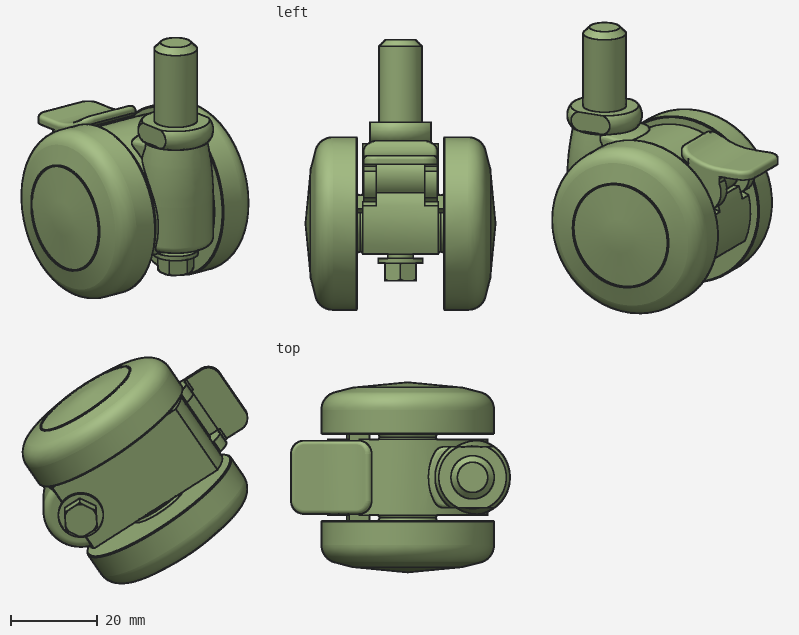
import cadquery as cq
import math

WHEEL_R = 20.0
WHEEL_IN = 10.0
TREAD_OUT = 15.6
RIM_R = 17.1
RIM_OUT = 19.6
CAP_R = 12.5
CAP_OUT = 20.8
WHEEL_OUT = 22.0
CAP_GROOVE = 0.25
INNER_EDGE = 0.25

HUB_R = 6.8
HUB_MEET_R = 6.5
HUB_MEET = 9.3

HOUSING_R = 18.5
HOUSING_HALF = 8.75
HOUSING_BOTTOM = -7.05

STEM_X = 15.0
COLUMN_R = 8.7
COLUMN_TOP_R = 7.25
COLUMN_BOTTOM = -6.55
COLUMN_TOP = 18.6
COLUMN_STRAIGHT_TOP = 5.0
COLUMN_ROUND = 1.7
COLLAR_R = 10.5
COLLAR_EDGE_Z = 17.95
COLLAR_END_X = 12.5
COLLAR_CORNER = 2.5
COLLAR_ROUND = 0.95

STUD_R = 5.0
STUD_TOP = 42.5
STUD_CHAMFER = 1.5
NUT_R = 8.7
NUT_END_R = 7.8
NUT_BOTTOM = 18.9
NUT_TOP = 23.45
NUT_HALF_FLATS = 7.05
NECK_R = 6.9
SHAFT_R = 3.0
WASHER_R = 5.2
WASHER_TOP = -8.05
WASHER_BOTTOM = -9.1
HEX_FLATS = 7.25
HEX_BOTTOM = -13.25
HEX_CHAMFER = 0.4

PLATE_TIP_X = -27.0
PLATE_REAR_X = -8.3
PLATE_TOP = 15.7
PLATE_T = 2.0
PLATE_BOTTOM = PLATE_TOP - PLATE_T
PLATE_HALF = 8.5
PLATE_CORNER = 3.05
PLATE_ROUND = 0.95
BEND_X = -19.4
BEND_R = 15.6
BEND_ANGLE = 50.0

POCKET_X = -11.25
POCKET_FLOOR = 7.05
LEG_IN = 5.6
LEG_OUT = PLATE_HALF
LEG_FLOOR = 5.0
LEG_FLOOR_LIP = 3.95
LEG_FLOOR_BREAK_X = -15.95
LEG_TOE = (-18.1, 5.95)
LEG_BULGE = (-19.8, 10.2)
LEG_NOTCH = (-19.3, 12.1)
LEG_FILLET = 0.5
CORE_TOE_X = -15.6
CORE_BULGE = (-17.1, 10.0)
CORE_HEAD = (-16.55, PLATE_BOTTOM)

BAR_LENGTH = 4.75
BAR_HEIGHT = 3.25
BAR_X = -11.45
BAR_Z = 4.5
BAR_TILT = -11.3


def block(x0, x1, y0, y1, z0, z1):
    return cq.Workplane("XY").box(x1 - x0, y1 - y0, z1 - z0, centered=False).translate((x0, y0, z0))


def along_y(outline, half_width):
    """Extrude an XZ outline equally to both sides of the mid plane."""
    return outline.extrude(half_width, both=True)


def make_wheel(side):
    """Wheel with rounded shoulder, conical face and short hub; side is -1 or +1 along Y."""
    groove_r = CAP_R - CAP_GROOVE
    groove_floor = CAP_OUT - CAP_GROOVE
    profile = (
        cq.Workplane("XY")
        .moveTo(0, HUB_MEET)
        .lineTo(HUB_MEET_R, HUB_MEET)
        .lineTo(HUB_R, WHEEL_IN)
        .lineTo(WHEEL_R - INNER_EDGE, WHEEL_IN)
        .lineTo(WHEEL_R, WHEEL_IN + INNER_EDGE)
        .lineTo(WHEEL_R, TREAD_OUT)
        .tangentArcPoint((RIM_R, RIM_OUT), relative=False)
        .lineTo(CAP_R, CAP_OUT)
        .lineTo(CAP_R, groove_floor)
        .lineTo(groove_r, groove_floor)
        .lineTo(groove_r, CAP_OUT)
        .lineTo(0, WHEEL_OUT)
        .close()
    )
    wheel = profile.revolve(360, (0, 0, 0), (0, 1, 0))
    return wheel if side > 0 else wheel.mirror("XZ")


def plate_outline():
    """Side outline of the thumb plate: flat tip, then an upward bend of constant thickness."""
    bend_z = PLATE_TOP + BEND_R

    def on_bend(radius, degrees):
        angle = math.radians(degrees)
        return (BEND_X + radius * math.sin(angle), bend_z - radius * math.cos(angle))

    lower_r = BEND_R + PLATE_T
    return (
        cq.Workplane("XZ")
        .moveTo(PLATE_TIP_X, PLATE_TOP)
        .lineTo(BEND_X, PLATE_TOP)
        .threePointArc(on_bend(BEND_R, BEND_ANGLE / 2), on_bend(BEND_R, BEND_ANGLE))
        .lineTo(*on_bend(lower_r, BEND_ANGLE))
        .threePointArc(on_bend(lower_r, BEND_ANGLE / 2), on_bend(lower_r, 0))
        .lineTo(PLATE_TIP_X, PLATE_BOTTOM)
        .close()
    )


def make_plate():
    plate = along_y(plate_outline(), PLATE_HALF)
    planform = block(PLATE_TIP_X, PLATE_REAR_X, -PLATE_HALF, PLATE_HALF, 0, STUD_TOP)
    plate = plate.intersect(planform.edges("|Z").fillet(PLATE_CORNER))
    return plate.faces("<X").edges(">Z").fillet(PLATE_ROUND)


def make_brake_bar():
    """Tilted bar that crosses the housing and reaches both wheel faces."""
    bar = cq.Workplane("XZ").rect(BAR_LENGTH, BAR_HEIGHT)
    bar = along_y(bar, WHEEL_IN)
    return bar.rotate((0, 0, 0), (0, 1, 0), -BAR_TILT).translate((BAR_X, 0, BAR_Z))


def make_leg(side):
    """Leg hanging from the plate, with a bulged front; it stands on the slot floor."""
    outline = (
        cq.Workplane("XZ")
        .moveTo(POCKET_X, LEG_FLOOR)
        .lineTo(LEG_FLOOR_BREAK_X, LEG_FLOOR)
        .lineTo(*LEG_TOE)
        .threePointArc(LEG_BULGE, LEG_NOTCH)
        .lineTo(LEG_NOTCH[0], PLATE_BOTTOM - LEG_FILLET)
        .radiusArc((LEG_NOTCH[0] - LEG_FILLET, PLATE_BOTTOM), LEG_FILLET)
        .lineTo(POCKET_X, PLATE_BOTTOM)
        .close()
    )
    leg = outline.extrude(LEG_OUT - LEG_IN)
    return leg.translate((0, LEG_OUT if side > 0 else -LEG_IN, 0))


def make_core():
    """Web between the legs, with a rounded front; it stands on the pocket floor."""
    outline = (
        cq.Workplane("XZ")
        .moveTo(POCKET_X, POCKET_FLOOR)
        .lineTo(CORE_TOE_X, POCKET_FLOOR)
        .threePointArc(CORE_BULGE, CORE_HEAD)
        .lineTo(POCKET_X, CORE_HEAD[1])
        .close()
    )
    return along_y(outline, LEG_IN)


def make_web_top():
    """Wedge that joins the legs and the core to the underside of the bent plate."""
    bend_z = PLATE_TOP + BEND_R
    room = block(LEG_NOTCH[0], POCKET_X, -LEG_OUT, LEG_OUT, PLATE_BOTTOM, bend_z)
    bend = along_y(cq.Workplane("XZ").center(BEND_X, bend_z).circle(BEND_R + PLATE_T / 2), LEG_OUT)
    return room.cut(bend)


def make_lever():
    lever = make_plate().union(make_web_top()).union(make_core())
    for side in (-1, 1):
        lever = lever.union(make_leg(side))
    return lever.union(make_brake_bar())


def make_drum():
    drum = along_y(cq.Workplane("XZ").circle(HOUSING_R), HOUSING_HALF)
    keep = block(-HOUSING_R, HOUSING_R, -HOUSING_HALF, HOUSING_HALF, HOUSING_BOTTOM, HOUSING_R)
    return drum.intersect(keep)


def make_boss(side):
    """Short tapered boss that meets the wheel hub."""
    profile = (
        cq.Workplane("XY")
        .lineTo(HUB_R, 0)
        .lineTo(HUB_R, HOUSING_HALF)
        .lineTo(HUB_MEET_R, HUB_MEET)
        .lineTo(0, HUB_MEET)
        .close()
    )
    boss = profile.revolve(360, (0, 0, 0), (0, 1, 0))
    keep = block(-HUB_R, HUB_R, HOUSING_HALF - 0.6, HUB_MEET, -HUB_R, HUB_R)
    boss = boss.intersect(keep)
    return boss if side > 0 else boss.mirror("XZ")


def make_column():
    """Swivel column, barrel shaped towards the top and rounded at the bottom."""
    profile = (
        cq.Workplane("XZ")
        .moveTo(0, COLUMN_BOTTOM)
        .lineTo(COLUMN_R - COLUMN_ROUND, COLUMN_BOTTOM)
        .radiusArc((COLUMN_R, COLUMN_BOTTOM + COLUMN_ROUND), -COLUMN_ROUND)
        .lineTo(COLUMN_R, COLUMN_STRAIGHT_TOP)
        .tangentArcPoint((COLUMN_TOP_R, COLUMN_TOP), relative=False)
        .lineTo(0, COLUMN_TOP)
        .close()
    )
    return profile.revolve(360, (0, 0, 0), (0, 1, 0)).translate((STEM_X, 0, 0))


def make_collar():
    """Sloped collar with flat sides that runs from the column top down to the drum."""
    profile = (
        cq.Workplane("XZ")
        .lineTo(COLLAR_R, 0)
        .lineTo(COLLAR_R, COLLAR_EDGE_Z)
        .lineTo(COLUMN_TOP_R, COLUMN_TOP)
        .lineTo(0, COLUMN_TOP)
        .close()
    )
    collar = profile.revolve(360, (0, 0, 0), (0, 1, 0)).translate((STEM_X, 0, 0))
    collar = collar.intersect(block(0, COLLAR_END_X, -NUT_HALF_FLATS, NUT_HALF_FLATS, 0, COLUMN_TOP))
    collar = collar.edges("|Z").edges("<X").fillet(COLLAR_CORNER)
    return collar.faces("<X").edges(">Z").fillet(COLLAR_ROUND)


def make_leg_slot(side):
    """Open-sided slot for one leg; its floor slopes down at the drum surface."""
    outline = (
        cq.Workplane("XZ")
        .moveTo(POCKET_X, LEG_FLOOR)
        .lineTo(LEG_FLOOR_BREAK_X, LEG_FLOOR)
        .lineTo(-HOUSING_R, LEG_FLOOR_LIP)
        .lineTo(-HOUSING_R, HOUSING_R)
        .lineTo(POCKET_X, HOUSING_R)
        .close()
    )
    slot = outline.extrude(HOUSING_HALF - LEG_IN)
    return slot.translate((0, HOUSING_HALF if side > 0 else -LEG_IN, 0))


def make_housing():
    housing = make_drum().union(make_collar()).union(make_column())
    housing = housing.cut(block(-HOUSING_R, POCKET_X, -LEG_IN, LEG_IN, POCKET_FLOOR, HOUSING_R))
    for side in (-1, 1):
        housing = housing.union(make_boss(side)).cut(make_leg_slot(side))
    bore = cq.Workplane("XY").workplane(offset=HOUSING_BOTTOM).center(STEM_X, 0)
    bore = bore.circle(SHAFT_R).extrude(COLUMN_TOP - HOUSING_BOTTOM)
    return housing.cut(bore).cut(make_brake_bar())


def make_nut():
    """Barrel-shaped nut with two flats."""
    middle = (NUT_R, (NUT_BOTTOM + NUT_TOP) / 2)
    profile = (
        cq.Workplane("XZ")
        .moveTo(0, NUT_BOTTOM)
        .lineTo(NUT_END_R, NUT_BOTTOM)
        .threePointArc(middle, (NUT_END_R, NUT_TOP))
        .lineTo(0, NUT_TOP)
        .close()
    )
    nut = profile.revolve(360, (0, 0, 0), (0, 1, 0))
    return nut.intersect(block(-NUT_R, NUT_R, -NUT_HALF_FLATS, NUT_HALF_FLATS, NUT_BOTTOM, NUT_TOP))


def make_stem():
    def rod(radius, z0, z1):
        return cq.Workplane("XY").workplane(offset=z0).circle(radius).extrude(z1 - z0)

    hex_corners = HEX_FLATS / math.cos(math.pi / 6)
    head = cq.Workplane("XY").workplane(offset=HEX_BOTTOM).polygon(6, hex_corners)
    head = head.extrude(WASHER_BOTTOM - HEX_BOTTOM)
    head = head.intersect(rod(hex_corners / 2, HEX_BOTTOM, WASHER_BOTTOM).faces("<Z").chamfer(HEX_CHAMFER))
    stem = rod(STUD_R, NUT_TOP, STUD_TOP).faces(">Z").chamfer(STUD_CHAMFER)
    stem = stem.union(make_nut()).union(rod(NECK_R, COLUMN_TOP, NUT_BOTTOM))
    stem = stem.union(rod(SHAFT_R, WASHER_TOP, COLUMN_TOP))
    stem = stem.union(rod(WASHER_R, WASHER_BOTTOM, WASHER_TOP)).union(head)
    return stem.translate((STEM_X, 0, 0))


wheels = [make_wheel(side) for side in (-1, 1)]
lever = make_lever()
housing = make_housing()
stem = make_stem()

result = cq.Compound.makeCompound(
    [*(wheel.val() for wheel in wheels), *lever.vals(), *housing.vals(), *stem.vals()]
)